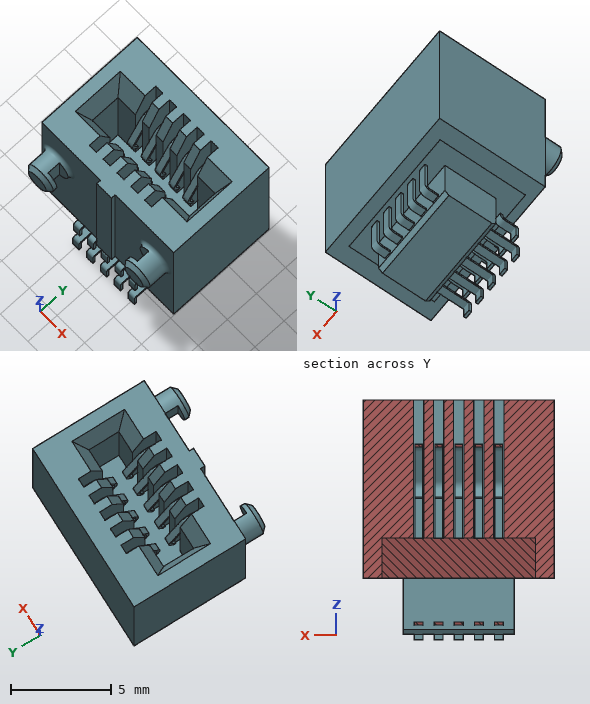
import cadquery as cq
import math


housing_width = 9.54
housing_height = 8.89
housing_front = -3.16
housing_depth = 6.56
housing_back = housing_front + housing_depth
rib_width = 1.07
rib_depth = 0.25

pocket_width = 7.02
pocket_depth_y = 1.76
mouth_width = 8.08
mouth_depth_y = 3.09
funnel_height = 1.5

contact_count = 5
contact_pitch = 1.0
slot_width = 0.5
slot_end = 2.28
contact_columns = [(i - (contact_count - 1) / 2) * contact_pitch for i in range(contact_count)]

peg_diameter = 1.78
peg_spacing = 7.0
peg_height = 5.71
peg_length = 1.52
peg_root_radius = 0.25
peg_tip_chamfer = 0.25
peg_head_length = 0.5
peg_notch_offset = 0.27

base_width = 7.6
base_depth = 5.3
base_height = 2.0
stem_width = 5.54
stem_depth = 3.17
stem_height = 2.79
stem_chamfer = 0.25

strip_thickness = 0.16
spring_width = 0.38
embed_depth = 0.5
spring_crown = 6.69
spring_angle = math.radians(29)
slope_top = 1.18
spring_reach = 0.27
knee_radius = 0.5
tail_length = 0.4

lead_width = 0.45
lead_row = 2.34
lead_bend_radius = 0.25
lead_fold_radius = 0.09
front_lead_level = -0.345
front_lead_end = -3.40
front_lead_bottom = -1.17
back_lead_level = -2.25
back_lead_end = -3.45
back_lead_bottom = -3.07


def block(width, y_min, y_max, z_min, z_max):
    """Box centred on X = 0 between the given Y and Z limits."""
    size = (width, y_max - y_min, z_max - z_min)
    return cq.Workplane("XY", origin=(0, y_min, z_min)).box(*size, centered=(True, False, False))


def funnel():
    """Tapered mouth that narrows from the top face to the card pocket."""
    return (
        cq.Workplane("XY", origin=(0, 0, housing_height - funnel_height))
        .rect(pocket_width, pocket_depth_y)
        .workplane(offset=funnel_height)
        .rect(mouth_width, mouth_depth_y)
        .loft(ruled=True)
    )


def peg(side):
    """Locating peg with a flared root, a chamfered tip and a snap notch facing the rib."""
    radius = peg_diameter / 2
    root_radius = radius + peg_root_radius
    tip_radius = radius - peg_tip_chamfer
    arc_inset = peg_root_radius * (1 - math.sqrt(0.5))
    body = (
        cq.Workplane("XY")
        .lineTo(root_radius, 0)
        .threePointArc((radius + arc_inset, arc_inset), (radius, peg_root_radius))
        .lineTo(radius, peg_length - peg_tip_chamfer)
        .lineTo(tip_radius, peg_length)
        .lineTo(0, peg_length)
        .close()
        .revolve(360, (0, 0, 0), (0, 1, 0))
    )
    notch_length = peg_length - peg_head_length - peg_root_radius
    notch = cq.Workplane("XY").box(peg_diameter, notch_length, 2 * peg_diameter, centered=(False, False, True))
    body = body.cut(notch.translate((peg_notch_offset, peg_root_radius, 0)))
    body = body.mirror("XZ")
    if side > 0:
        body = body.mirror("YZ")
    return body.translate((side * peg_spacing / 2, housing_front, peg_height))


def make_housing():
    body = block(housing_width, housing_front, housing_back, 0, housing_height)
    body = body.union(block(rib_width, housing_front - rib_depth, housing_front, 0, housing_height))
    for side in (-1, 1):
        body = body.union(peg(side))
    body = body.cut(block(pocket_width, -pocket_depth_y / 2, pocket_depth_y / 2, base_height, housing_height))
    body = body.cut(funnel())
    slot = block(slot_width, -slot_end, slot_end, base_height, housing_height)
    for x in contact_columns:
        body = body.cut(slot.translate((x, 0, 0)))
    return body.cut(block(base_width, -base_depth / 2, base_depth / 2, 0, base_height))


def strip(path, start, width):
    """Flat strip swept along a path in the YZ plane that starts vertically at `start`."""
    y, z = start
    return cq.Workplane("XY", origin=(0, y, z)).rect(width, strip_thickness).sweep(path)


def spring():
    """Hooked spring of the back row: up, over the crown, down the slope and around the knee."""
    half = strip_thickness / 2
    sine, cosine = math.sin(spring_angle), math.cos(spring_angle)
    crown_outer = (slot_end - slope_top) / (1 + cosine)
    crown_radius = crown_outer - half
    crown_y = slot_end - crown_outer
    crown_z = spring_crown - crown_outer
    slope_y = crown_y - crown_radius * cosine
    slope_z = crown_z + crown_radius * sine
    knee_y = spring_reach + half + knee_radius
    knee_start_y = knee_y - knee_radius * cosine
    knee_start_z = slope_z - (slope_y - knee_start_y) / math.tan(spring_angle)
    knee_z = knee_start_z - knee_radius * sine
    knee_end_z = knee_z - knee_radius * sine
    start = (crown_y + crown_radius, base_height - embed_depth)
    path = (
        cq.Workplane("YZ")
        .moveTo(*start)
        .lineTo(crown_y + crown_radius, crown_z)
        .threePointArc((crown_y, crown_z + crown_radius), (slope_y, slope_z))
        .lineTo(knee_start_y, knee_start_z)
        .threePointArc((knee_y - knee_radius, knee_z), (knee_start_y, knee_end_z))
        .lineTo(knee_start_y + tail_length * sine, knee_end_z - tail_length * cosine)
    )
    return strip(path, start, spring_width)


def lead(row_y, level, end_y, bottom):
    """Solder lead: down from the base, forward at `level`, then down to its foot."""
    foot_y = end_y + strip_thickness / 2
    bend_inset = lead_bend_radius * (1 - math.sqrt(0.5))
    fold_inset = lead_fold_radius * (1 - math.sqrt(0.5))
    start = (row_y, embed_depth)
    path = (
        cq.Workplane("YZ")
        .moveTo(*start)
        .lineTo(row_y, level + lead_bend_radius)
        .threePointArc((row_y - bend_inset, level + bend_inset), (row_y - lead_bend_radius, level))
        .lineTo(foot_y + lead_fold_radius, level)
        .threePointArc((foot_y + fold_inset, level - fold_inset), (foot_y, level - lead_fold_radius))
        .lineTo(foot_y, bottom)
    )
    return strip(path, start, lead_width)


def make_insert():
    stem = block(stem_width, -stem_depth / 2, stem_depth / 2, -stem_height, 0)
    stem = stem.faces("<Z").edges("|X").chamfer(stem_chamfer)
    body = block(base_width, -base_depth / 2, base_depth / 2, 0, base_height).union(stem)
    back_spring = spring()
    pieces = [
        back_spring,
        back_spring.mirror("XZ"),
        lead(-lead_row, front_lead_level, front_lead_end, front_lead_bottom),
        lead(lead_row, back_lead_level, back_lead_end, back_lead_bottom),
    ]
    for x in contact_columns:
        for piece in pieces:
            body = body.union(piece.translate((x, 0, 0)))
    return body


housing = make_housing()
insert = make_insert()

result = cq.Compound.makeCompound([housing.val(), insert.val()])